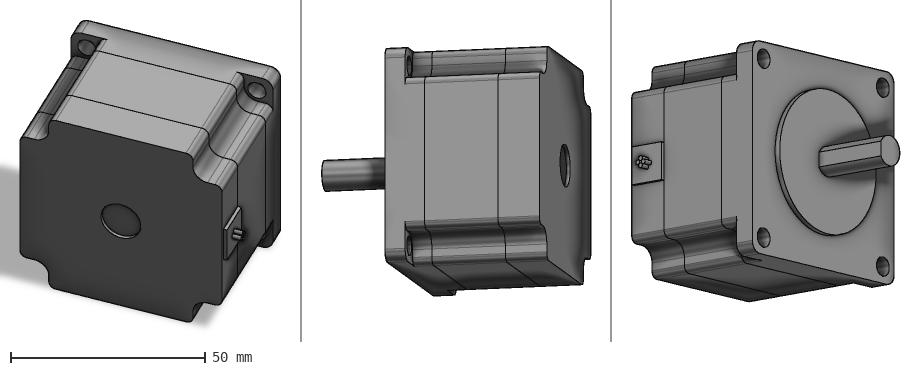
import cadquery as cq


HOUSING_SIDE = 56.0
HOUSING_LENGTH = 41.0
REAR_CAP_LENGTH = 11.0
STATOR_LENGTH = 19.45
FLANGE_THICKNESS = 5.4
STATOR_START = REAR_CAP_LENGTH
STATOR_END = STATOR_START + STATOR_LENGTH
FLANGE_START = HOUSING_LENGTH - FLANGE_THICKNESS

FLANGE_CORNER_RADIUS = 3.0
BOLT_SPACING = 47.1
BOLT_HOLE_DIAMETER = 5.0
NOTCH_DEPTH = 8.0
NOTCH_INNER_RADIUS = 4.0
NOTCH_LIP_RADIUS = 2.0

PILOT_DIAMETER = 38.1
PILOT_HEIGHT = 1.6
OVERALL_LENGTH = 63.6
SHAFT_DIAMETER = 8.0
SHAFT_FLAT_OFFSET = 3.5
SHAFT_START = HOUSING_LENGTH + PILOT_HEIGHT
SHAFT_LENGTH = OVERALL_LENGTH - SHAFT_START

REAR_RECESS_DIAMETER = 11.0
REAR_RECESS_DEPTH = 1.0

OUTLET_SIDE = 10.0
OUTLET_THICKNESS = 1.0
LEAD_COUNT = 4
LEAD_LENGTH = 2.5
LEAD_RADIUS = 0.65
LEAD_OFFSET = 0.95
OUTLET_Y = REAR_CAP_LENGTH - OUTLET_SIDE / 2
OUTLET_FACE_X = HOUSING_SIDE / 2 + OUTLET_THICKNESS


def cross_section(y):
    """Workplane across the motor axis at y: local x is Z, local y is X, normal is +Y."""
    return cq.Workplane("ZX", origin=(0, y, 0))


def notched_block(start, length):
    """Square block along Y with a rounded notch running along each of its four corners."""
    waist = HOUSING_SIDE - 2 * NOTCH_DEPTH
    upright = cross_section(start).rect(HOUSING_SIDE, waist).extrude(length)
    crosswise = cross_section(start).rect(waist, HOUSING_SIDE).extrude(length)
    upright = upright.edges("|Y").fillet(NOTCH_LIP_RADIUS)
    crosswise = crosswise.edges("|Y").fillet(NOTCH_LIP_RADIUS)
    inner_corners = (
        cross_section(start + length / 2)
        .rect(waist, waist, forConstruction=True)
        .vertices()
    )
    cross = upright.union(crosswise)
    for corner in inner_corners.vals():
        nearest_edge = cq.selectors.NearestToPointSelector(corner.toTuple())
        cross = cross.edges(nearest_edge).fillet(NOTCH_INNER_RADIUS)
    return cross


def make_flange():
    """Square mounting plate with rounded corners and four bolt holes."""
    return (
        cross_section(FLANGE_START)
        .rect(HOUSING_SIDE, HOUSING_SIDE)
        .extrude(FLANGE_THICKNESS)
        .edges("|Y")
        .fillet(FLANGE_CORNER_RADIUS)
        .faces(">Y")
        .workplane(origin=(0, HOUSING_LENGTH, 0))
        .rect(BOLT_SPACING, BOLT_SPACING, forConstruction=True)
        .vertices()
        .hole(BOLT_HOLE_DIAMETER)
    )


def make_shaft():
    """Round shaft with a flat along its whole exposed length."""
    shaft = cross_section(SHAFT_START).circle(SHAFT_DIAMETER / 2).extrude(SHAFT_LENGTH)
    beyond_flat = (
        cross_section(SHAFT_START)
        .center(0, SHAFT_FLAT_OFFSET + SHAFT_DIAMETER / 2)
        .rect(SHAFT_DIAMETER, SHAFT_DIAMETER)
        .extrude(SHAFT_LENGTH)
    )
    return shaft.cut(beyond_flat)


def make_front_cover():
    """Front part of the housing with the flange, the pilot boss and the shaft."""
    cover = notched_block(STATOR_END, FLANGE_START - STATOR_END)
    pilot = cross_section(HOUSING_LENGTH).circle(PILOT_DIAMETER / 2).extrude(PILOT_HEIGHT)
    return cover.union(make_flange()).union(pilot).union(make_shaft())


def make_cable_outlet():
    """Square plate against the +X side, with four leads in a diamond."""
    plate = (
        cq.Workplane("YZ", origin=(HOUSING_SIDE / 2, OUTLET_Y, 0))
        .rect(OUTLET_SIDE, OUTLET_SIDE)
        .extrude(OUTLET_THICKNESS)
    )
    lead_plane = cq.Plane(origin=(OUTLET_FACE_X, OUTLET_Y, 0), xDir=(0, 0, 1), normal=(1, 0, 0))
    leads = (
        cq.Workplane(lead_plane)
        .polarArray(LEAD_OFFSET, 0, 360, LEAD_COUNT, rotate=False)
        .circle(LEAD_RADIUS)
        .extrude(LEAD_LENGTH)
    )
    return plate.union(leads)


def make_rear_cap():
    """Rear part of the housing with its round recess and the cable outlet."""
    cap = notched_block(0, REAR_CAP_LENGTH)
    recess = cross_section(0).circle(REAR_RECESS_DIAMETER / 2).extrude(REAR_RECESS_DEPTH)
    return cap.cut(recess).union(make_cable_outlet())


front_cover = make_front_cover()
stator = notched_block(STATOR_START, STATOR_LENGTH)
rear_cap = make_rear_cap()

result = cq.Compound.makeCompound([front_cover.val(), stator.val(), rear_cap.val()])